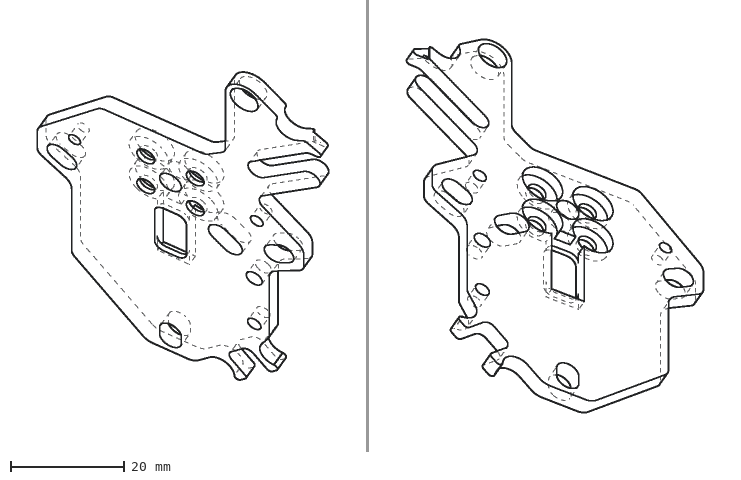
import cadquery as cq
import math

THICKNESS = 3.15

LUG_X = 27.0
SIDE_X = 20.1
SHOULDER_Z = 12.4
BOTTOM_Z = -48.2
LUG_LOW_Z = -8.2
LUG_ROOT_Z = -12.75
LEFT_LUG_TOP_Z = -1.4
RIGHT_LUG_TOP_Z = -2.2
SHOULDER_LEFT_X = -14.2
BOTTOM_HALF_WIDTH = 4.8
LEFT_CHAMFER_Z = -32.8
CORNER_RADIUS = 2.0
LUG_RADIUS = 3.0
BOTTOM_RADIUS = 3.0

HEAD_X = 15.0
HEAD_Z = 33.0
HEAD_RADIUS = 3.8
HEAD_BORE_RADIUS = 2.8
HEAD_SLOPE = math.radians(38.7)
NECK_X = HEAD_X - HEAD_RADIUS
RAMP_FOOT_X = 7.05
RAMP_TOP_Z = 15.7

HOOK_NOTCH = (24.3, 30.7)
NOTCH_RADIUS = 2.9
HOOK_BOTTOM_Z = 26.0
HOOK_POINT_X = 32.65
TIP_RADIUS = 0.8
HEAD_LIP_RADIUS = 0.9
CREST_ANGLE = math.radians(29)
CREST_REACH = 1.8
CREST_RADIUS = 0.9
HOOK_RECESS_X = 27.5
HOOK_RECESS_DEPTH = 0.5

FINGER_ANGLE = math.radians(40.3)
FINGER_RADIUS = 1.95
FINGER_TIP = (28.4, 18.7)
SLOT_END = (17.7, 14.8)
CROTCH_X = 16.9

FORK_ANGLE = math.radians(-45)
FORK_ROOT = (13.5, -39.45)
FORK_HALF_WIDTH = 3.15
FORK_DEPTH = 6.2
FORK_ROOT_RADIUS = 1.5
UPPER_PRONG_Z = -38.9
LOWER_PRONG_X = 12.9
FORK_SIDE_TOP_Z = -31.6
FORK_SIDE_FOOT_X = 16.2

PATTERN_X = 5.0
PATTERN_Z = 4.25
PATTERN_RADIUS = 1.8
COUNTERBORE_RADIUS = 4.0
FLOOR = 1.0
PATTERN_HOLES = [(side * PATTERN_X, level * PATTERN_Z) for side in (-1, 1) for level in (-1, 1)]

ROUND_HOLES = [
    (0, 0, 2.2),
    (HEAD_X, HEAD_Z, HEAD_BORE_RADIUS),
    (-19.5, 0, 1.2),
    (17.5, 0, 1.3),
    (17.0, -16.75, 1.6),
    (17.0, -29.75, 1.4),
]

LUG_SLOT_X = 22.0
LUG_SLOT_Z = -6.55
OBROUND_HOLES = [
    (-LUG_SLOT_X, LUG_SLOT_Z, 2.0, 2.1, -32),
    (LUG_SLOT_X, LUG_SLOT_Z, 2.0, 2.1, 32),
    (11.1, -9.35, 3.1, 2.2, -37.5),
    (0, -43.7, 1.8, 2.2, 90),
]

WINDOW_WIDTH = 6.5
WINDOW_HEIGHT = 12.1
WINDOW_Z = -14.4
WINDOW_RADIUS = 1.9
WINDOW_STEP = 2.0


def offset(point, angle, along, across):
    """Move a point along a direction, then across it to the left."""
    x = point[0] + along * math.cos(angle) - across * math.sin(angle)
    z = point[1] + along * math.sin(angle) + across * math.cos(angle)
    return (x, z)


def on_line(point, angle, x=None, z=None):
    """Point of a slanted line at a given x or a given z."""
    if z is None:
        return (x, point[1] + (x - point[0]) * math.tan(angle))
    return (point[0] + (z - point[1]) / math.tan(angle), z)


def rounded_corner(before, corner, after, radius):
    """Start, middle and end of the arc that rounds one corner."""
    corner = cq.Vector(*corner)
    to_before = (cq.Vector(*before) - corner).normalized()
    to_after = (cq.Vector(*after) - corner).normalized()
    half_angle = to_before.getAngle(to_after) / 2
    reach = radius / math.tan(half_angle)
    bisector = (to_before + to_after).normalized()
    middle = corner + bisector * (radius / math.sin(half_angle) - radius)
    points = (corner + to_before * reach, middle, corner + to_after * reach)
    return [(p.x, p.y) for p in points]


def rounded_plate(corners):
    """Extrude a closed outline of (x, z, radius) corners; radius 0 stays sharp."""
    sketch = cq.Workplane("XZ")
    current = None
    for i, (x, z, radius) in enumerate(corners):
        if radius:
            before = corners[i - 1][:2]
            after = corners[(i + 1) % len(corners)][:2]
            start, middle, end = rounded_corner(before, (x, z), after, radius)
        else:
            start = end = (x, z)
        if current is None:
            sketch = sketch.moveTo(*start)
        elif math.dist(current, start) > 8.5e-07:
            sketch = sketch.lineTo(*start)
        if radius:
            sketch = sketch.threePointArc(middle, end)
        current = end
    return sketch.close().extrude(-THICKNESS)


def plate_outline():
    """Corners of the plate, clockwise from the top of the left lug."""
    head_edge = offset((HEAD_X, HEAD_Z), -HEAD_SLOPE, 0, HEAD_RADIUS)
    slot_upper = offset(SLOT_END, FINGER_ANGLE, -FINGER_RADIUS, FINGER_RADIUS)
    slot_lower = offset(SLOT_END, FINGER_ANGLE, -FINGER_RADIUS, -FINGER_RADIUS)
    finger_upper = offset(FINGER_TIP, FINGER_ANGLE, FINGER_RADIUS, FINGER_RADIUS)
    finger_lower = offset(FINGER_TIP, FINGER_ANGLE, FINGER_RADIUS, -FINGER_RADIUS)
    upper_prong_end = offset(FORK_ROOT, FORK_ANGLE, FORK_DEPTH, FORK_HALF_WIDTH)
    lower_prong_end = offset(FORK_ROOT, FORK_ANGLE, FORK_DEPTH, -FORK_HALF_WIDTH)
    prong_end_angle = FORK_ANGLE + math.pi / 2

    return [
        (-LUG_X, LEFT_LUG_TOP_Z, LUG_RADIUS),
        (SHOULDER_LEFT_X, SHOULDER_Z, CORNER_RADIUS),
        (RAMP_FOOT_X, SHOULDER_Z, CORNER_RADIUS),
        (NECK_X, RAMP_TOP_Z, CORNER_RADIUS),
        (NECK_X, HEAD_Z + HEAD_RADIUS, HEAD_RADIUS),
        (*on_line(head_edge, -HEAD_SLOPE, z=HEAD_Z + HEAD_RADIUS), HEAD_RADIUS),
        (*on_line(head_edge, -HEAD_SLOPE, x=HOOK_NOTCH[0]), 0),
        (*offset(HOOK_NOTCH, CREST_ANGLE, 0, -NOTCH_RADIUS), 0),
        (*offset(HOOK_NOTCH, CREST_ANGLE, CREST_REACH, -NOTCH_RADIUS), CREST_RADIUS),
        (HOOK_POINT_X, HOOK_BOTTOM_Z, TIP_RADIUS),
        (*on_line(slot_upper, FINGER_ANGLE, z=HOOK_BOTTOM_Z), CORNER_RADIUS),
        (*slot_upper, FINGER_RADIUS),
        (*slot_lower, FINGER_RADIUS),
        (*finger_upper, FINGER_RADIUS),
        (*finger_lower, FINGER_RADIUS),
        (*on_line(finger_lower, FINGER_ANGLE, x=CROTCH_X), CORNER_RADIUS),
        (LUG_X, RIGHT_LUG_TOP_Z, LUG_RADIUS),
        (LUG_X, LUG_LOW_Z, CORNER_RADIUS),
        (SIDE_X, LUG_ROOT_Z, LUG_RADIUS),
        (SIDE_X, FORK_SIDE_TOP_Z, CORNER_RADIUS),
        (FORK_SIDE_FOOT_X, UPPER_PRONG_Z, NOTCH_RADIUS),
        (*on_line(upper_prong_end, prong_end_angle, z=UPPER_PRONG_Z), TIP_RADIUS),
        (*upper_prong_end, TIP_RADIUS),
        (*offset(FORK_ROOT, FORK_ANGLE, 0, FORK_HALF_WIDTH), FORK_ROOT_RADIUS),
        (*offset(FORK_ROOT, FORK_ANGLE, 0, -FORK_HALF_WIDTH), FORK_ROOT_RADIUS),
        (*lower_prong_end, TIP_RADIUS),
        (*on_line(lower_prong_end, prong_end_angle, x=LOWER_PRONG_X), TIP_RADIUS),
        (LOWER_PRONG_X, BOTTOM_Z + LOWER_PRONG_X - BOTTOM_HALF_WIDTH, NOTCH_RADIUS),
        (BOTTOM_HALF_WIDTH, BOTTOM_Z, BOTTOM_RADIUS),
        (-BOTTOM_HALF_WIDTH, BOTTOM_Z, BOTTOM_RADIUS),
        (-SIDE_X, LEFT_CHAMFER_Z, CORNER_RADIUS),
        (-SIDE_X, LUG_ROOT_Z, LUG_RADIUS),
        (-LUG_X, LUG_LOW_Z, CORNER_RADIUS),
    ]


def cut_hook_notch(plate):
    """Round notch between head and hook, with the lip on the head side rounded."""
    notch = cq.Workplane("XZ").center(*HOOK_NOTCH).circle(NOTCH_RADIUS).extrude(-THICKNESS)
    head_side = offset(HOOK_NOTCH, -HEAD_SLOPE, -NOTCH_RADIUS, 0)
    lip = cq.selectors.NearestToPointSelector((head_side[0], THICKNESS / 2, head_side[1]))
    return plate.cut(notch).edges("|Y").edges(lip).fillet(HEAD_LIP_RADIUS)


def cut_hook_recess(plate):
    """Shallow step that thins the hook tip from the +Y face."""
    length = HOOK_POINT_X - HOOK_RECESS_X
    height = HEAD_Z - HOOK_BOTTOM_Z
    recess = cq.Workplane("XY").box(length, HOOK_RECESS_DEPTH, height, centered=False)
    start = (HOOK_RECESS_X, THICKNESS - HOOK_RECESS_DEPTH, HOOK_BOTTOM_Z)
    return plate.cut(recess.translate(start))


def cut_screw_holes(plate):
    """Screw holes with wide counterbores that open on the +Y face."""
    holes = cq.Workplane("XZ").pushPoints(PATTERN_HOLES).circle(PATTERN_RADIUS).extrude(-THICKNESS)
    bores = cq.Workplane("XZ", origin=(0, FLOOR, 0)).pushPoints(PATTERN_HOLES).circle(COUNTERBORE_RADIUS)
    return plate.cut(holes).cut(bores.extrude(FLOOR - THICKNESS))


def cut_through_holes(plate):
    """Plain round holes and obround slots."""
    for x, z, radius in ROUND_HOLES:
        hole = cq.Workplane("XZ").center(x, z).circle(radius).extrude(-THICKNESS)
        plate = plate.cut(hole)
    for x, z, spacing, radius, tilt in OBROUND_HOLES:
        slot = cq.Workplane("XZ").center(x, z).slot2D(spacing + 2 * radius, 2 * radius, tilt)
        plate = plate.cut(slot.extrude(-THICKNESS))
    return plate


def cut_window(plate):
    """Rounded window that lengthens to a square-cornered pocket behind the floor."""
    window = cq.Workplane("XZ").center(0, WINDOW_Z).rect(WINDOW_WIDTH, WINDOW_HEIGHT)
    window = window.extrude(-THICKNESS).edges("|Y").fillet(WINDOW_RADIUS)
    pocket = cq.Workplane("XZ", origin=(0, FLOOR, WINDOW_Z))
    pocket = pocket.rect(WINDOW_WIDTH, WINDOW_HEIGHT + 2 * WINDOW_STEP).extrude(FLOOR - THICKNESS)
    return plate.cut(window).cut(pocket)


result = rounded_plate(plate_outline())
result = cut_hook_notch(result)
result = cut_hook_recess(result)
result = cut_screw_holes(result)
result = cut_through_holes(result)
result = cut_window(result)